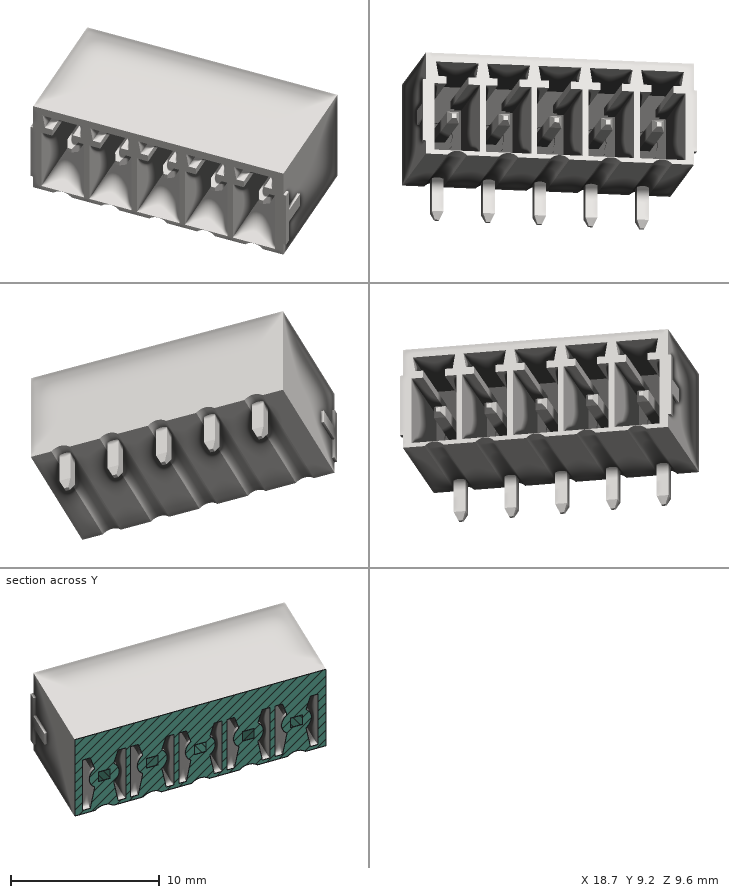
import cadquery as cq


contact_count = 5
contact_span = 14.0
pitch = contact_span / (contact_count - 1)
contact_axis_z = 3.0

overall_width = 18.7
housing_width = 18.3
housing_depth = 9.2
housing_height = 7.0

cell_depth = 7.0
cell_half_width = 1.55
cell_floor_z = 0.3
ledge_bottom_z = 4.9
ledge_top_z = 5.4
throat_half_width = 0.75
keyway_top_z = 6.4
keyway_base_half_width = 1.29
keyway_top_half_width = 1.45

recess_depth = 0.37
recess_floor_z = 0.35
pad_end_half_width = 1.03
neck_half_width = 0.71
pad_round_diameter = 2.2
round_recess_diameter = 1.8
round_recess_depth = 0.19

side_pad_bottom_z = 0.92
side_pad_top_z = 5.16
side_pad_depth = 0.49
side_arm_reach = 2.4
side_arm_height = 1.01

groove_diameter = 1.8
groove_depth = 0.28

pin_width = 0.8
pin_tip_width = 0.3
pin_taper_length = 0.55
pin_tail_length = 2.6
pin_tail_from_back = 1.2
pin_nose_y = 1.2

contact_xs = [i * pitch - contact_span / 2 for i in range(contact_count)]
cell_back_y = cell_depth
tail_y = housing_depth - pin_tail_from_back


def front_plane(x, y=0.0):
    """XZ sketch plane at depth y under contact x; a negative extrusion goes toward +Y."""
    return cq.Workplane("XZ", origin=(x, y, 0))


def make_side_pads():
    """Both T-shaped pads, as bars that pass through the housing from side to side."""
    pad_middle_z = (side_pad_bottom_z + side_pad_top_z) / 2
    upright = cq.Workplane().box(
        overall_width, side_pad_depth, side_pad_top_z - side_pad_bottom_z, centered=(True, False, True)
    )
    arm = cq.Workplane().box(overall_width, side_arm_reach, side_arm_height, centered=(True, False, True))
    return upright.union(arm).translate((0, 0, pad_middle_z))


def make_cell(x):
    """Space inside one cell, from the mating face to the cell's back wall."""
    right_side = [
        (cell_half_width, cell_floor_z),
        (cell_half_width, ledge_bottom_z),
        (throat_half_width, ledge_bottom_z),
        (throat_half_width, ledge_top_z),
        (keyway_base_half_width, ledge_top_z),
        (keyway_top_half_width, keyway_top_z),
    ]
    left_side = [(-px, pz) for px, pz in reversed(right_side)]
    return front_plane(x).polyline(right_side + left_side).close().extrude(-cell_depth)


def make_back_wall_recesses(x):
    """The two recesses beside the waisted pad, and the round recess about the pin."""
    pad_radius = pad_round_diameter / 2
    neck_rise = (pad_radius**2 - neck_half_width**2) ** 0.5
    wall = front_plane(x, cell_back_y)
    side_recess = (
        wall.moveTo(cell_half_width, recess_floor_z)
        .lineTo(pad_end_half_width, recess_floor_z)
        .lineTo(neck_half_width, contact_axis_z - neck_rise)
        .threePointArc((pad_radius, contact_axis_z), (neck_half_width, contact_axis_z + neck_rise))
        .lineTo(pad_end_half_width, ledge_bottom_z)
        .lineTo(cell_half_width, ledge_bottom_z)
        .close()
        .extrude(-recess_depth)
    )
    opposite_recess = side_recess.mirror("YZ", (x, 0, 0))
    round_recess = (
        wall.center(0, contact_axis_z).circle(round_recess_diameter / 2).extrude(-round_recess_depth)
    )
    return side_recess.union(opposite_recess).union(round_recess)


def make_groove(x):
    """Shallow rounded groove along the whole underside."""
    groove_axis_z = groove_depth - groove_diameter / 2
    return front_plane(x).center(0, groove_axis_z).circle(groove_diameter / 2).extrude(-housing_depth)


def make_pin(x):
    """Square pin with a level nose in the cell, a right-angle bend and a tail below the housing."""
    bend_y = tail_y + pin_width / 2
    bend_top_z = contact_axis_z + pin_width / 2
    nose_shoulder_y = pin_nose_y + pin_taper_length
    tail_shoulder_z = pin_taper_length - pin_tail_length

    nose = (
        front_plane(x, nose_shoulder_y)
        .center(0, contact_axis_z)
        .rect(pin_width, pin_width)
        .extrude(nose_shoulder_y - bend_y)
    )
    nose_tip = (
        front_plane(x, nose_shoulder_y)
        .center(0, contact_axis_z)
        .rect(pin_width, pin_width)
        .workplane(offset=pin_taper_length)
        .rect(pin_tip_width, pin_tip_width)
        .loft()
    )
    tail = (
        cq.Workplane("XY", origin=(x, tail_y, tail_shoulder_z))
        .rect(pin_width, pin_width)
        .extrude(bend_top_z - tail_shoulder_z)
    )
    tail_tip = (
        cq.Workplane("XY", origin=(x, tail_y, tail_shoulder_z))
        .rect(pin_width, pin_width)
        .workplane(offset=-pin_taper_length)
        .rect(pin_tip_width, pin_tip_width)
        .loft()
    )
    return nose.union(tail).union(nose_tip).union(tail_tip)


def make_housing(pins):
    """Block with its side pads, cells and grooves, and a matching bore for every pin."""
    block = cq.Workplane().box(housing_width, housing_depth, housing_height, centered=(True, False, False))
    housing = block.union(make_side_pads())
    for x, pin in zip(contact_xs, pins):
        housing = housing.cut(make_cell(x))
        housing = housing.cut(make_back_wall_recesses(x))
        housing = housing.cut(make_groove(x))
        housing = housing.cut(pin)
    return housing


pins = [make_pin(x) for x in contact_xs]
housing = make_housing(pins)

result = cq.Compound.makeCompound([housing.val(), *[pin.val() for pin in pins]])